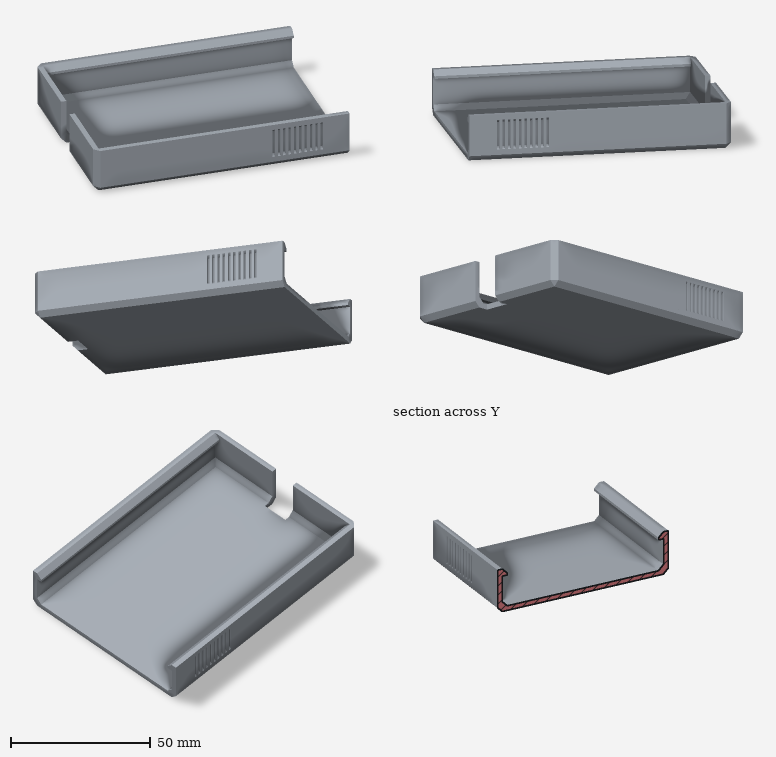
import cadquery as cq

width = 70.0
length = 96.0
height = 17.0

wall = 2.0
outer_chamfer = wall
floor_chamfer = wall

lip_reach = wall
lip_slope_height = wall
lip_edge_height = 1.0

notch_width = 10.0
notch_depth = 6.0

groove_count = 10
groove_width = 1.0
groove_pitch = 2.0
groove_depth = 1.0
groove_back_offset = 10.0
groove_bottom = 2 * wall
groove_top = height - lip_slope_height

half_width = width / 2
front_y = -length / 2
back_y = length / 2


def make_outer_block():
    """Solid block with its front corners and lower side and front edges chamfered."""
    block = cq.Workplane("XY").box(width, length, height, centered=(True, True, False))
    vertical_edges = block.edges("|Z and <Y")
    bottom_edges = block.faces("<Z").edges("|Y or <Y")
    return block.newObject(vertical_edges.vals() + bottom_edges.vals()).chamfer(outer_chamfer)


def make_cavity():
    """Inner space: a chamfered tray below the lips and a flared opening between them."""
    inner_half = half_width - wall
    opening_half = inner_half - lip_reach
    lip_edge_top = height - lip_slope_height
    lip_bottom = lip_edge_top - lip_edge_height
    front_inner = front_y + wall
    inner_length = back_y - front_inner

    chamber = (
        cq.Workplane("XY")
        .box(2 * inner_half, inner_length, lip_bottom - wall, centered=(True, False, False))
        .translate((0, front_inner, wall))
    )
    chamber = chamber.faces("<Z").edges("|Y or <Y").chamfer(floor_chamfer)

    opening = (
        cq.Workplane("XZ", origin=(0, back_y, 0))
        .moveTo(-opening_half, lip_bottom)
        .lineTo(opening_half, lip_bottom)
        .lineTo(opening_half, lip_edge_top)
        .lineTo(inner_half, height)
        .lineTo(-inner_half, height)
        .lineTo(-opening_half, lip_edge_top)
        .close()
        .extrude(inner_length)
    )
    return chamber.union(opening)


def make_notch():
    """Full-height notch in the middle of the front."""
    return (
        cq.Workplane("XY")
        .box(notch_width, notch_depth, height, centered=(True, False, False))
        .translate((0, front_y, 0))
    )


def make_groove(start_y):
    """One groove in the -X side; its ends slope inward at 45 degrees."""
    side_x = -half_width
    return (
        cq.Workplane("XZ", origin=(0, start_y, 0))
        .moveTo(side_x, groove_bottom)
        .lineTo(side_x + groove_depth, groove_bottom + groove_depth)
        .lineTo(side_x + groove_depth, groove_top - groove_depth)
        .lineTo(side_x, groove_top)
        .close()
        .extrude(groove_width)
    )


result = make_outer_block().cut(make_cavity()).cut(make_notch())

for index in range(groove_count):
    groove = make_groove(back_y - groove_back_offset - index * groove_pitch)
    result = result.cut(groove).cut(groove.mirror("YZ"))